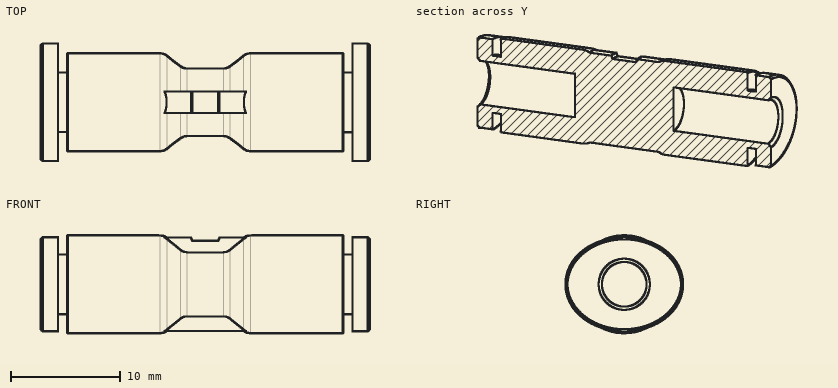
import cadquery as cq

overall_length = 30.2

body_length = 25.4
body_diameter = 9.0
body_edge_chamfer = 0.1
waist_diameter = 6.2
waist_length = 4.0
barrel_gap = 7.6
cone_fillet = 1.0

flange_width = 10.8
flange_height = 8.64
flange_thickness = 1.6
flange_chamfer = 0.2
sleeve_diameter = 5.5

bore_diameter = 4.1
bore_depth = 10.0
mouth_diameter = 4.7
mouth_chamfer = (mouth_diameter - bore_diameter) / 2

web_width = 2.0
web_height = 8.6
notch_floor_z = 4.0
notch_floor_length = 2.35
notch_top_length = 2.65

body_radius = body_diameter / 2
waist_radius = waist_diameter / 2
end_x = overall_length / 2
body_end_x = body_length / 2
web_top_z = web_height / 2


def make_body():
    """Revolve the waisted body, rounding the corners where the cones start and end."""
    profile = [
        (-body_end_x, 0),
        (-body_end_x, body_radius),
        (-barrel_gap / 2, body_radius),
        (-waist_length / 2, waist_radius),
        (waist_length / 2, waist_radius),
        (barrel_gap / 2, body_radius),
        (body_end_x, body_radius),
        (body_end_x, 0),
    ]
    body = cq.Workplane("XY").polyline(profile).close().revolve(360, (0, 0, 0), (1, 0, 0))
    middle = cq.selectors.BoxSelector(
        (-barrel_gap, -body_diameter, -body_diameter),
        (barrel_gap, body_diameter, body_diameter),
    )
    body = body.edges("%CIRCLE").edges(middle).fillet(cone_fillet)
    return body.faces("<X or >X").chamfer(body_edge_chamfer)


def make_web():
    """Flat plate along the waist with a shallow, slope-ended notch in its top edge."""
    web = cq.Workplane("XY").box(barrel_gap, web_width, web_height)
    notch_profile = [
        (-notch_floor_length / 2, notch_floor_z),
        (notch_floor_length / 2, notch_floor_z),
        (notch_top_length / 2, web_top_z),
        (-notch_top_length / 2, web_top_z),
    ]
    notch = cq.Workplane("XZ").polyline(notch_profile).close().extrude(web_width / 2, both=True)
    return web.cut(notch)


def make_button():
    """Oval flange and round sleeve at the -X end."""
    flange = (
        cq.Workplane("YZ", origin=(-end_x, 0, 0))
        .ellipse(flange_width / 2, flange_height / 2)
        .extrude(flange_thickness)
        .faces("<X")
        .chamfer(flange_chamfer)
    )
    sleeve = (
        cq.Workplane("YZ", origin=(-end_x + flange_thickness, 0, 0))
        .circle(sleeve_diameter / 2)
        .extrude(end_x - flange_thickness - body_end_x)
    )
    return flange.union(sleeve)


def make_socket():
    """Blind bore with a chamfered mouth, cut into the -X end."""
    socket_profile = [
        (-end_x, 0),
        (-end_x, mouth_diameter / 2),
        (-end_x + mouth_chamfer, bore_diameter / 2),
        (-end_x + bore_depth, bore_diameter / 2),
        (-end_x + bore_depth, 0),
    ]
    return cq.Workplane("XY").polyline(socket_profile).close().revolve(360, (0, 0, 0), (1, 0, 0))


part = make_body().union(make_web())
for end_angle in (0, 180):
    part = part.union(make_button().rotate((0, 0, 0), (0, 0, 1), end_angle))
    part = part.cut(make_socket().rotate((0, 0, 0), (0, 0, 1), end_angle))

result = part